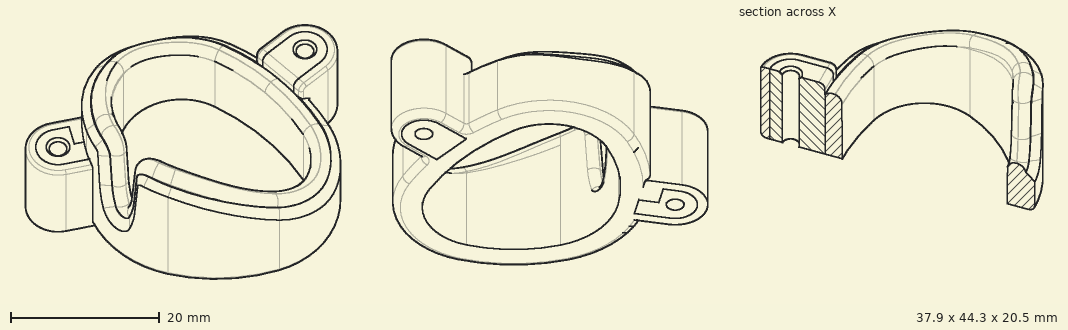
import cadquery as cq
import math


half_width = 18.945
front_y = -18.5
front_radius = 15.4
front_sweep = math.radians(31)
flank_radius = 24.85
shoulder_radius = 12.55
back_radius = 37.5
wall = 4.0
bottom_fillet = 1.0

bevel = 1.3
bead_width = wall - bevel
bead_fillet = 0.49 * bead_width
bead_rise = 1.2
blank_height = 30.0
bead_crest = [(-20.0, 21.2), (-17.0, 21.06), (-14.4, 20.3), (-8.0, 16.5), (-3.2, 13.75), (1.0, 12.05),
              (5.5, 11.0), (10.5, 11.55), (15.0, 12.6)]
wall_crest = [(-20.0, 19.8), (-17.5, 19.4), (-14.4, 18.0), (-8.0, 14.7), (-3.2, 12.3), (1.0, 10.8),
              (5.5, 9.8), (10.5, 10.35), (15.0, 11.4)]

slot_tip_z = 8.0
slot_tip_radius = 0.2
slot_flank_radius = 13.0
slot_tip_lean = math.radians(20)
slot_taper = math.radians(4.5)
slot_mouth_radius = 3.0

lug_radius = 4.4
lug_length = 5.0
lug_height = 13.0
lug_edge_fillet = 0.45
lug_end_fillet = 0.95
lug_blend = 0.5
rear_lug_place = ((0.0, 16.9, 0.0), 180.0)
front_lug_place = ((-11.0, -18.6, 0.0), -30.0)

post_radius = 3.0
hole_diameter = 2.38
countersink = 0.4
notch_start = 2.26

tolerance = 0.001


def polar(center, radius, angle):
    """Point on a circle, with the angle measured counterclockwise from the downward direction."""
    return (center[0] + radius * math.sin(angle), center[1] - radius * math.cos(angle))


def ring_prism(inset):
    """Solid prism of the ring outline moved inward by inset."""
    front_center = (0.0, front_y + front_radius)
    flank_center = polar(front_center, front_radius - flank_radius, front_sweep)
    shoulder_x = half_width - shoulder_radius
    flank_end = math.asin((shoulder_x - flank_center[0]) / (flank_radius - shoulder_radius))
    shoulder_center = polar(flank_center, flank_radius - shoulder_radius, flank_end)
    shoulder_end = math.pi - math.asin(shoulder_x / (back_radius - shoulder_radius))
    back_center = polar(shoulder_center, shoulder_radius - back_radius, shoulder_end)
    arcs = [
        (front_center, front_radius, 0.0, front_sweep),
        (flank_center, flank_radius, front_sweep, flank_end),
        (shoulder_center, shoulder_radius, flank_end, shoulder_end),
        (back_center, back_radius, shoulder_end, math.pi),
    ]
    outline = cq.Workplane("XY").moveTo(0.0, front_y + inset)
    left_half = []
    for center, radius, start, end in arcs:
        first, middle, last = [polar(center, radius - inset, a) for a in (start, (start + end) / 2, end)]
        outline = outline.threePointArc(middle, last)
        left_half.append((mirrored(middle), mirrored(first)))
    for middle, last in reversed(left_half):
        outline = outline.threePointArc(middle, last)
    return outline.close().extrude(blank_height)


def mirrored(point):
    """The same point on the other side of the symmetry plane."""
    return (-point[0], point[1])


def slot_cutter(enlargement, depth):
    """Front slot, enlarged on every side, running from the XZ plane toward -Y."""
    tip_radius = slot_tip_radius + enlargement
    flank = slot_flank_radius + enlargement
    tip_angle = math.pi / 2 - slot_tip_lean
    taper_angle = math.pi / 2 - slot_taper
    tip_center = (0.0, slot_tip_z + slot_tip_radius)
    flank_center = polar(tip_center, tip_radius - flank, tip_angle)
    tip = polar(tip_center, tip_radius, 0.0)
    flank_start = polar(tip_center, tip_radius, tip_angle)
    flank_middle = polar(flank_center, flank, (tip_angle + taper_angle) / 2)
    flank_end = polar(flank_center, flank, taper_angle)
    top = (flank_end[0] + (blank_height - flank_end[1]) * math.tan(slot_taper), blank_height)
    return (
        cq.Workplane("XZ")
        .moveTo(*top)
        .lineTo(*flank_end)
        .threePointArc(flank_middle, flank_start)
        .threePointArc(tip, mirrored(flank_start))
        .threePointArc(mirrored(flank_middle), mirrored(flank_end))
        .lineTo(*mirrored(top))
        .close()
        .extrude(depth)
    )


def rim_cutter(crest, slot_enlargement):
    """Everything above the crest and inside the slot, with the slot mouth rounded."""
    crest_front, crest_back = crest[0], crest[-1]
    above = (
        cq.Workplane("YZ")
        .moveTo(*crest_front)
        .spline(crest[1:], includeCurrent=True)
        .lineTo(crest_back[0], 2 * blank_height)
        .lineTo(crest_front[0], 2 * blank_height)
        .close()
        .extrude(2 * half_width, both=True)
    )
    slot_depth = -crest_front[0]
    cutter = above.union(slot_cutter(slot_enlargement, slot_depth))
    mouth = cq.selectors.BoxSelector(
        (-half_width, -0.9 * slot_depth, lug_height),
        (half_width, -0.1 * slot_depth, crest_front[1]),
    )
    mouth_edges = [e for e in cutter.edges(mouth).vals() if abs(e.Center().x) < lug_radius]
    return cutter.newObject(mouth_edges).fillet(slot_mouth_radius - slot_enlargement)


def hollow_blank(inset, crest, slot_enlargement):
    """Ring wall from inset inward, cut to the crest and the slot, with sharp rim edges."""
    hollow = ring_prism(inset).cut(ring_prism(wall))
    return hollow.cut(rim_cutter(crest, slot_enlargement))


def rim_edges(body, inset):
    """Edges of the rim that lie on the vertical surface inset from the ring outline."""
    surface = cq.Compound.makeCompound(ring_prism(inset).faces("%CYLINDER").vals())
    found = []
    for edge in body.edges().vals():
        middle = cq.Vertex.makeVertex(*edge.positionAt(0.5).toTuple())
        above_floor = edge.BoundingBox().zmin > bottom_fillet
        if edge.geomType() != "LINE" and above_floor and surface.distance(middle) < tolerance:
            found.append(edge)
    return body.newObject(found)


def beaded_ring():
    base = hollow_blank(0, wall_crest, bead_rise)
    base = rim_edges(base, 0).chamfer(bevel)
    bead = hollow_blank(bevel, bead_crest, 0)
    bead = rim_edges(bead, bevel).add(rim_edges(bead, wall)).fillet(bead_fillet)
    return base.union(bead)


def place(body, placement):
    position, turn = placement
    return body.rotate((0, 0, 0), (0, 0, 1), turn).translate(position)


def u_prism(radius):
    """Prism with a round end about the Z axis toward -Y and a square end toward +Y."""
    return (
        cq.Workplane("XY")
        .moveTo(-radius, lug_length)
        .lineTo(-radius, 0)
        .threePointArc((0, -radius), (radius, 0))
        .lineTo(radius, lug_length)
        .close()
        .extrude(lug_height)
    )


def lug():
    body = u_prism(lug_radius).faces(">Y").edges(">Z").fillet(lug_end_fillet)
    return body.faces(">Z").edges("|Y").fillet(lug_edge_fillet)


def screw_hole():
    """Through hole with a countersunk top."""
    radius = hole_diameter / 2
    hole = cq.Workplane("XY").circle(radius).extrude(lug_height)
    sink = (
        cq.Workplane("XY", origin=(0, 0, lug_height - countersink))
        .circle(radius)
        .workplane(offset=countersink)
        .circle(radius + countersink)
        .loft()
    )
    return hole.union(sink)


def notched_prism():
    """Post prism without the -X half of its square end."""
    notch = cq.Workplane("XY").box(post_radius, lug_length, lug_height, centered=False)
    return u_prism(post_radius).cut(notch.translate((-post_radius, notch_start, 0)))


def ring_with_rear_lug():
    body = beaded_ring().union(place(lug(), rear_lug_place))
    rear_y = rear_lug_place[0][1]
    corners = [
        e for e in body.edges("|Z").vals()
        if abs(abs(e.Center().x) - lug_radius) < tolerance
        and rear_y - lug_length < e.Center().y < rear_y
        and e.Center().z < lug_height / 2
    ]
    body = body.newObject(corners).fillet(lug_blend)
    bottom_outline = body.faces("<Z").val().outerWire()
    return body.newObject(bottom_outline.Edges()).fillet(bottom_fillet)


filled_housing = ring_with_rear_lug().union(place(lug(), front_lug_place))
for placement in (rear_lug_place, front_lug_place):
    filled_housing = filled_housing.cut(place(screw_hole(), placement))

rear_post_space = place(u_prism(post_radius), rear_lug_place)
front_post_space = place(notched_prism(), front_lug_place)

rear_post = filled_housing.intersect(rear_post_space)
front_post = filled_housing.intersect(front_post_space)
housing = filled_housing.cut(rear_post_space).cut(front_post_space)

result = cq.Compound.makeCompound([*housing.vals(), *rear_post.vals(), *front_post.vals()])